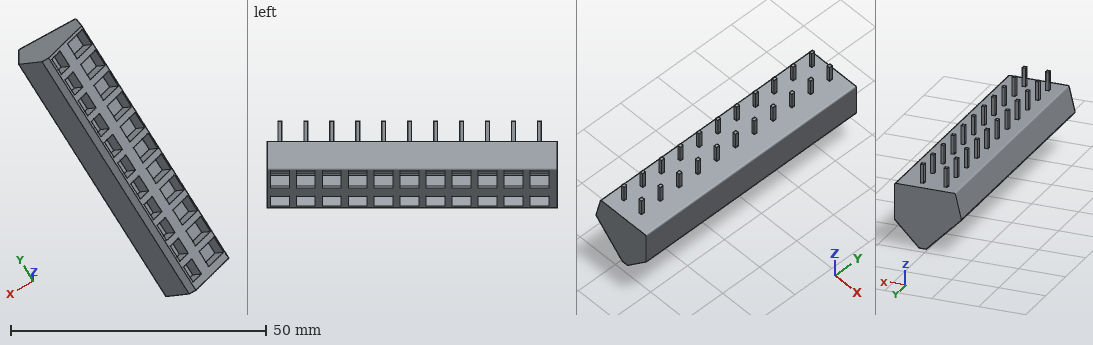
import cadquery as cq
import math


length = 56.9
body_width = 14.3
body_height = 13.0
apex_height = 7.5
apex_overhang = 0.04
top_left = 1.3
right_wall_bottom = 5.3
edge_radius = 0.4

contact_count = 11
first_contact = 3.5
last_contact = 2.5
pitch = (length - first_contact - last_contact) / (contact_count - 1)

pin_size_x = 0.7
pin_size_y = 0.8
pin_height = 4.0
pin_row_first = 4.25
pin_row_spacing = 5.0

opening_length = 3.7
opening_depth = 2.8
entry_bottom = 0.35
entry_top = 2.2
pocket_bottom = 3.9
pocket_top = 7.3

lip_rise = 0.35
incline_rise = 2.05

slope_sum = apex_height - apex_overhang
incline_angle = math.atan2(top_left + apex_overhang, body_height - apex_height)
contact_positions = [first_contact + i * pitch for i in range(contact_count)]


def prism(points, start, depth):
    """Extrude an XZ outline by depth along +Y, beginning at y = start."""
    plane = cq.Workplane("XZ", origin=(0, start, 0))
    return plane.polyline(points).close().extrude(-depth)


def slope_point(height, depth=0.0):
    """Point sunk perpendicular to the left slope from a height on its surface."""
    step = depth / math.sqrt(2)
    return (slope_sum - height + step, height + step)


def make_body():
    outline = [
        (-apex_overhang, apex_height),
        (slope_sum, 0),
        (body_width - right_wall_bottom, 0),
        (body_width, right_wall_bottom),
        (body_width, body_height),
        (top_left, body_height),
    ]
    body = prism(outline, 0, length)
    body = body.faces(">Z").edges("|Y").fillet(edge_radius)
    apex = cq.selectors.NearestToPointSelector((-apex_overhang, length / 2, apex_height))
    return body.edges("|Y").edges(apex).fillet(edge_radius)


def entry_outline():
    return [
        slope_point(entry_bottom),
        slope_point(entry_bottom, opening_depth),
        slope_point(entry_top, opening_depth),
        slope_point(entry_top),
    ]


def pocket_outline():
    """Square-cut pocket whose lower wall is stepped by an inclined face."""
    mouth_x, mouth_z = slope_point(pocket_bottom)
    lip = (mouth_x + lip_rise, mouth_z + lip_rise)
    incline_end = (lip[0] + incline_rise * math.tan(incline_angle), lip[1] + incline_rise)
    floor_sum = slope_sum + opening_depth * math.sqrt(2)
    remaining = (floor_sum - sum(incline_end)) / 2
    floor_corner = (incline_end[0] + remaining, incline_end[1] + remaining)
    return [
        (mouth_x, mouth_z),
        lip,
        incline_end,
        floor_corner,
        slope_point(pocket_top, opening_depth),
        slope_point(pocket_top),
    ]


def make_pins(y):
    centers = [(pin_row_first, y), (pin_row_first + pin_row_spacing, y)]
    plane = cq.Workplane("XY", origin=(0, 0, body_height))
    return plane.pushPoints(centers).rect(pin_size_x, pin_size_y).extrude(pin_height)


result = make_body()
for y in contact_positions:
    opening_start = y - opening_length / 2
    result = result.cut(prism(entry_outline(), opening_start, opening_length))
    result = result.cut(prism(pocket_outline(), opening_start, opening_length))
    result = result.union(make_pins(y))